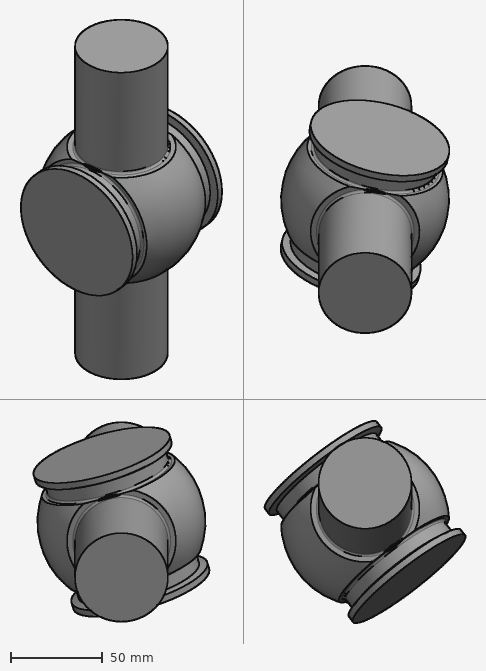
import cadquery as cq
import math

ball_radius = 92.0 / 2
flat_y = 26.1
flat_z = 35.0

total_height = 204
pipe_radius = 50.8 / 2

total_depth = 79.5
neck_radius = 68.7 / 2
flange_radius = 77.5 / 2
flange_rim_thickness = 3.9
flange_taper_angle = 15

root_fillet = 1.33


def make_ball():
    """Sphere trimmed by the flats."""
    ball = cq.Workplane("XY").sphere(ball_radius)
    trim = cq.Workplane("XY").box(2 * ball_radius, 2 * flat_y, 2 * flat_z)
    return ball.intersect(trim)


def root_outline(radius, flat):
    """Start a half profile (radius, axial position) at the axis, up to the end of its root fillet."""
    arc_offset = root_fillet * (1 - math.sqrt(0.5))
    return (
        cq.Workplane("XY")
        .lineTo(radius + root_fillet, 0)
        .lineTo(radius + root_fillet, flat)
        .threePointArc(
            (radius + arc_offset, flat + arc_offset),
            (radius, flat + root_fillet),
        )
    )


def revolve_outline(outline):
    """Close the half profile on the Y axis and revolve it about that axis."""
    return outline.close().revolve(360, (0, 0, 0), (0, 1, 0))


def make_flanged_neck():
    """Neck along +Y ending in a flange with a tapered back."""
    flange_end = total_depth / 2
    rim_start = flange_end - flange_rim_thickness
    taper_length = (flange_radius - neck_radius) * math.tan(math.radians(flange_taper_angle))
    taper_start = rim_start - taper_length
    outline = (
        root_outline(neck_radius, flat_y)
        .lineTo(neck_radius, taper_start)
        .lineTo(flange_radius, rim_start)
        .lineTo(flange_radius, flange_end)
        .lineTo(0, flange_end)
    )
    return revolve_outline(outline)


def make_pipe():
    """Pipe along +Z, turned up from the Y axis."""
    pipe_end = total_height / 2
    outline = (
        root_outline(pipe_radius, flat_z)
        .lineTo(pipe_radius, pipe_end)
        .lineTo(0, pipe_end)
    )
    return revolve_outline(outline).rotate((0, 0, 0), (1, 0, 0), 90)


neck = make_flanged_neck()
pipe = make_pipe()

result = make_ball()
for feature in (neck, neck.mirror("XZ"), pipe, pipe.mirror("XY")):
    result = result.union(feature)